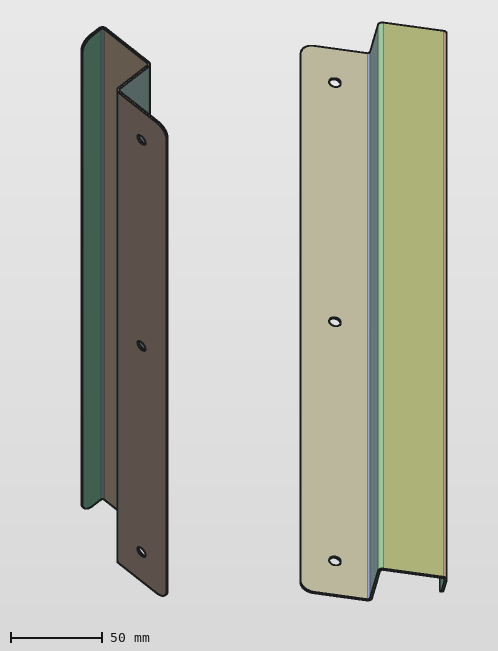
import cadquery as cq

width = 76.5
depth = 27.0
length = 406.5

thickness = 1.2
inner_bend = 1.2
outer_bend = inner_bend + thickness

channel_width = 38.0
lip_depth = 16.3

corner_radius = 7.5
hole_diameter = 6.5
hole_end_distance = 25.0

web_left = channel_width - thickness
lip_front = depth - lip_depth
hole_x = (channel_width + width) / 2
hole_heights = [hole_end_distance, length / 2, length - hole_end_distance]


def bent_sheet():
    """Extrude the lip, channel back, web and mounting flange along Z."""
    profile = (
        cq.Workplane("XY")
        .moveTo(0, lip_front)
        .lineTo(0, depth)
        .lineTo(channel_width, depth)
        .lineTo(channel_width, thickness)
        .lineTo(width, thickness)
        .lineTo(width, 0)
        .lineTo(web_left, 0)
        .lineTo(web_left, depth - thickness)
        .lineTo(thickness, depth - thickness)
        .lineTo(thickness, lip_front)
        .close()
    )
    return profile.extrude(length)


def round_vertical_edge(body, x, y, radius):
    """Fillet the vertical edge that passes through (x, y)."""
    selector = cq.selectors.NearestToPointSelector((x, y, length / 2))
    return body.edges("|Z").edges(selector).fillet(radius)


sheet = bent_sheet()

back_inside = depth - thickness
bend_corners = [
    ((0, depth), (thickness, back_inside)),
    ((channel_width, depth), (web_left, back_inside)),
    ((web_left, 0), (channel_width, thickness)),
]
for outside, inside in bend_corners:
    sheet = round_vertical_edge(sheet, *outside, outer_bend)
    sheet = round_vertical_edge(sheet, *inside, inner_bend)

sheet = sheet.faces(">X").edges("|Y").fillet(corner_radius)
lip_end = cq.selectors.NearestToPointSelector((thickness / 2, lip_front, length / 2))
sheet = sheet.faces(lip_end).edges("|X").fillet(corner_radius)

holes = (
    cq.Workplane("XZ")
    .pushPoints([(hole_x, height) for height in hole_heights])
    .circle(hole_diameter / 2)
    .extrude(-thickness)
)
result = sheet.cut(holes)